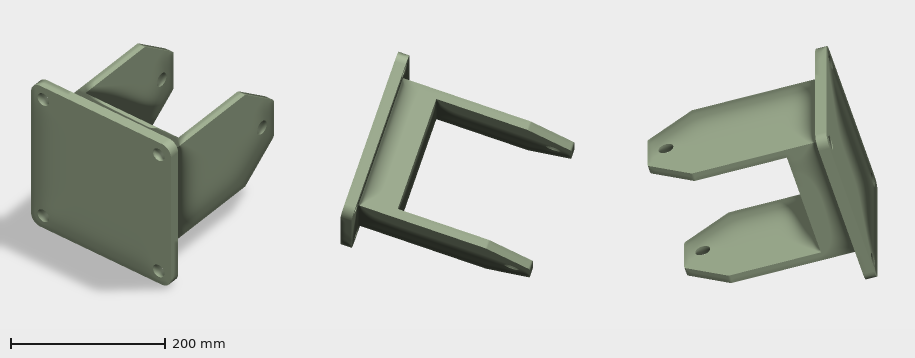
import cadquery as cq

plate_side = 230.0
plate_thickness = 15.0
plate_corner_radius = 15.0
plate_hole_diameter = 19.0
plate_hole_edge_distance = 20.0

overall_depth = 250.0
fork_width = 177.0
fork_height = 150.0
arm_thickness = 12.0
block_depth = 50.0
tip_height = 60.0
taper_length = 60.0
taper_corner_radius = 5.0
pin_hole_diameter = 20.0
pin_hole_tip_distance = 25.0

block_end = plate_thickness + block_depth
taper_start = overall_depth - taper_length
slot_width = fork_width - 2 * arm_thickness


def make_plate():
    hole_pitch = plate_side - 2 * plate_hole_edge_distance
    plate = (
        cq.Workplane("XZ")
        .rect(plate_side, plate_side)
        .extrude(-plate_thickness)
        .edges("|Y")
        .fillet(plate_corner_radius)
    )
    holes = (
        cq.Workplane("XZ")
        .rect(hole_pitch, hole_pitch, forConstruction=True)
        .vertices()
        .circle(plate_hole_diameter / 2)
        .extrude(-plate_thickness)
    )
    return plate.cut(holes)


def make_fork():
    body = (
        cq.Workplane("YZ")
        .moveTo(plate_thickness, -fork_height / 2)
        .lineTo(taper_start, -fork_height / 2)
        .lineTo(overall_depth, -tip_height / 2)
        .lineTo(overall_depth, tip_height / 2)
        .lineTo(taper_start, fork_height / 2)
        .lineTo(plate_thickness, fork_height / 2)
        .close()
        .extrude(fork_width / 2, both=True)
        .edges("|X and (not <Y)")
        .fillet(taper_corner_radius)
    )
    slot = cq.Workplane("XY").box(
        slot_width, overall_depth - block_end, fork_height, centered=(True, False, True)
    ).translate((0, block_end, 0))
    pin_hole = (
        cq.Workplane("YZ")
        .center(overall_depth - pin_hole_tip_distance, 0)
        .circle(pin_hole_diameter / 2)
        .extrude(fork_width / 2, both=True)
    )
    return body.cut(slot).cut(pin_hole)


result = make_plate().union(make_fork())